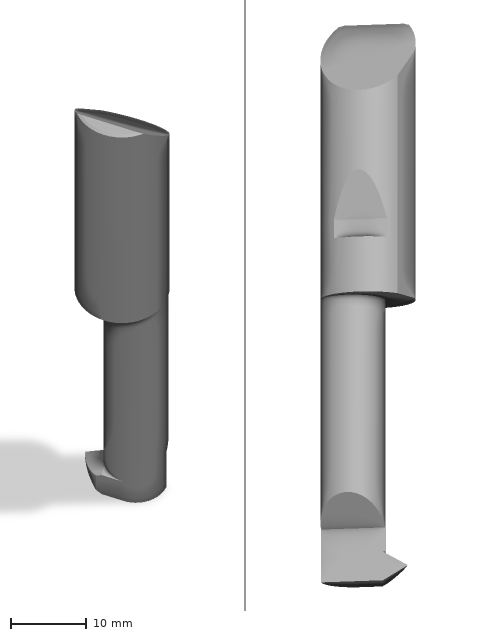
import cadquery as cq
import math

total_length = 76.2
shank_radius = 6.36
neck_length = total_length / 2

neck_radius = 4.35
neck_x = shank_radius - neck_radius

bevel_start_y = -4.4
rim_width = 0.4
rim_height = 0.2

flat_start_y = 0.15
flat_end_y = 4.2

notch_depth = 1.15
notch_bottom = 45.6
notch_ramp_start = 48.15
notch_ramp_angle = 10.0
notch_fillet = 0.3

cutting_face_y = 0.15
relief_height = 7.2
relief_angle = 45.0

tip_x = -5.4
tip_height = 3.9
tip_shoulder_x = -2.0
tip_bulge = (-4.1, -2.2)
flank_angle = 30.0
flank_clearance = 0.12

margin = 15.25


def prism_along_x(points):
    """Extrude a YZ outline through the full width of the part."""
    return cq.Workplane("YZ").polyline(points).close().extrude(margin, both=True)


def make_shank():
    shank = cq.Workplane("XY").workplane(offset=neck_length).circle(shank_radius)
    shank = shank.extrude(total_length - neck_length)
    return shank.faces(">Z").chamfer(rim_height, rim_width)


def end_bevel():
    top = total_length + margin
    end_y = bevel_start_y + margin
    return prism_along_x([
        (bevel_start_y, total_length),
        (end_y, total_length - margin),
        (end_y, top),
        (bevel_start_y, top),
    ])


def locating_flat():
    flat_start_x = -math.sqrt(shank_radius**2 - flat_start_y**2)
    flat_end_x = -math.sqrt(shank_radius**2 - flat_end_y**2)
    outline = [
        (flat_start_x, flat_start_y),
        (flat_end_x, flat_end_y),
        (flat_start_x - margin, flat_end_y),
        (flat_start_x - margin, flat_start_y),
    ]
    cutter = cq.Workplane("XY").workplane(offset=neck_length).polyline(outline).close()
    return cutter.extrude(total_length - neck_length)


def clamping_notch():
    floor_y = shank_radius - notch_depth
    ramp_length = notch_depth / math.tan(math.radians(notch_ramp_angle))
    cutter = prism_along_x([
        (floor_y, notch_bottom),
        (shank_radius, notch_bottom),
        (shank_radius, notch_ramp_start + ramp_length),
        (floor_y, notch_ramp_start),
    ])
    return cutter.edges("|X and <Y and <Z").fillet(notch_fillet)


def neck_relief():
    rise = margin * math.tan(math.radians(relief_angle))
    return prism_along_x([
        (cutting_face_y, 0),
        (cutting_face_y + margin, 0),
        (cutting_face_y + margin, relief_height + rise),
        (cutting_face_y, relief_height),
    ])


def tip_seat():
    """Clear the -X half of the neck end, where the tip takes its place."""
    seat = cq.Workplane("XY").box(margin, margin, tip_height, centered=(False, True, False))
    return seat.translate((neck_x - margin, 0, 0))


def tip_flanks():
    """Wedge between the two flanks, narrowing towards -Y for clearance."""
    tip_z = tip_height / 2
    slope = math.tan(math.radians(flank_angle))
    base_x = tip_x + margin

    def section(y):
        apex_x = tip_x - flank_clearance * y / slope
        half_height = slope * (base_x - apex_x)
        points = [
            (apex_x, y, tip_z),
            (base_x, y, tip_z + half_height),
            (base_x, y, tip_z - half_height),
        ]
        return cq.Wire.makePolygon([cq.Vector(*point) for point in points], close=True)

    wedge = cq.Solid.makeLoft([section(cutting_face_y), section(-neck_radius)], True)
    return cq.Workplane(obj=wedge)


def make_tip():
    """Plate with a bulging front face, brought to a point by the flanks."""
    plate = (
        cq.Workplane("XY")
        .moveTo(tip_x, cutting_face_y)
        .threePointArc(tip_bulge, (tip_shoulder_x, -neck_radius))
        .lineTo(neck_x, -neck_radius)
        .lineTo(neck_x, cutting_face_y)
        .close()
        .extrude(tip_height)
    )
    return plate.intersect(tip_flanks())


shank = make_shank().cut(end_bevel()).cut(locating_flat()).cut(clamping_notch())
neck = cq.Workplane("XY").center(neck_x, 0).circle(neck_radius).extrude(neck_length)
neck = neck.cut(neck_relief()).cut(tip_seat())
result = shank.union(neck).union(make_tip())